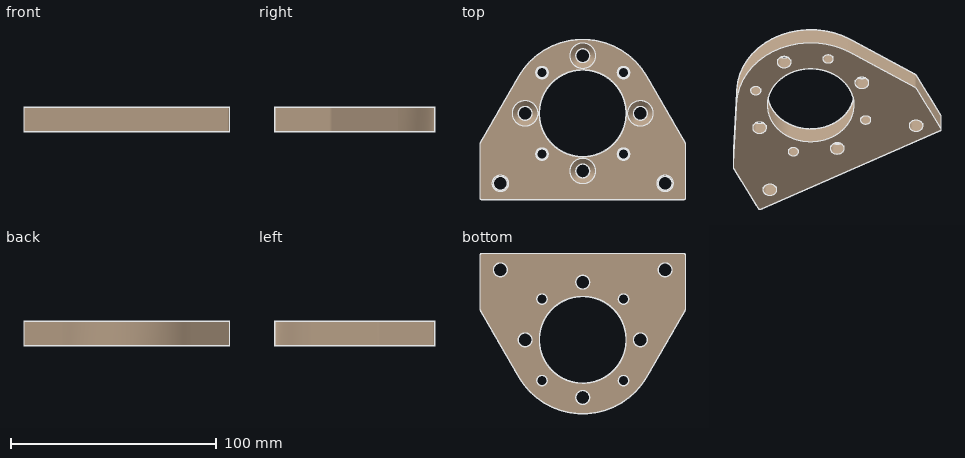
import cadquery as cq
import math

thickness = 12.0
width = 100.0
crown_radius = 36.0
base_y = -42.0
flank_angle = 60.0
shoulder_radius = 2.5
base_corner_radius = 1.0

bore_diameter = 42.0
bore_mouth_diameter = 42.4

bolt_circle_radius = 28.0
screw_diameter = 6.6
screw_head_diameter = 12.4
tapped_diameter = 4.9
tapped_mouth_diameter = 6.1

mount_x = 40.0
mount_y = -34.0
mount_diameter = 6.6
mount_mouth_diameter = 8.0

countersink_angle = 90.0


def make_plate():
    half_width = width / 2
    slope = math.radians(flank_angle)
    tangent_x = crown_radius * math.sin(slope)
    tangent_y = crown_radius * math.cos(slope)
    shoulder_y = tangent_y - (half_width - tangent_x) * math.tan(slope)
    plate = (
        cq.Workplane("XY")
        .moveTo(-half_width, base_y)
        .lineTo(half_width, base_y)
        .lineTo(half_width, shoulder_y)
        .lineTo(tangent_x, tangent_y)
        .threePointArc((0, crown_radius), (-tangent_x, tangent_y))
        .lineTo(-half_width, shoulder_y)
        .close()
        .extrude(thickness)
    )
    nearest = cq.selectors.NearestToPointSelector
    for side in (-1, 1):
        x = side * half_width
        plate = plate.edges(nearest((x, base_y, thickness / 2))).fillet(base_corner_radius)
        plate = plate.edges(nearest((x, shoulder_y, thickness / 2))).fillet(shoulder_radius)
    return plate


def drill(plate, points, diameter, mouth_diameter):
    """Cut through holes with a conical mouth in the top face."""
    return (
        plate.faces(">Z")
        .workplane(origin=(0, 0, thickness))
        .pushPoints(points)
        .cskHole(diameter, mouth_diameter, countersink_angle)
    )


def bolt_circle(start_angle):
    """Four evenly spaced points on the bolt circle."""
    angles = [math.radians(start_angle + 90 * i) for i in range(4)]
    return [(bolt_circle_radius * math.cos(a), bolt_circle_radius * math.sin(a)) for a in angles]


mount_points = [(-mount_x, mount_y), (mount_x, mount_y)]

result = make_plate()
result = drill(result, [(0, 0)], bore_diameter, bore_mouth_diameter)
result = drill(result, bolt_circle(0), screw_diameter, screw_head_diameter)
result = drill(result, bolt_circle(45), tapped_diameter, tapped_mouth_diameter)
result = drill(result, mount_points, mount_diameter, mount_mouth_diameter)